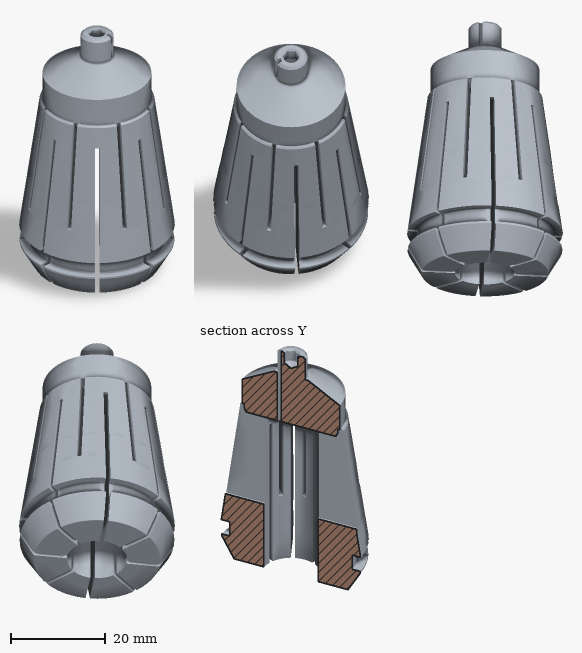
import cadquery as cq
import math

taper_angle = 8.0
nose_angle = 30.0
taper_radius = 16.45
nose_radius = 16.35
neck_radius = 14.45
bore_radius = 12.7 / 2
nose_rim_z = 5.1
neck_z = 5.6
taper_z = 9.1
body_top_z = 40.0
top_chamfer = 0.35
edge_round = 0.15

slot_width = 0.95
slots_per_side = 8
slot_pitch = 360.0 / slots_per_side
lower_slot_top_z = 35.05
upper_slot_bottom_z = 16.0

cap_radius = 23.0 / 2
plug_radius = 22.2 / 2
plug_taper_angle = 25.0
plug_tip_z = 38.0
plug_taper_z = 39.1
cap_cone_z = 46.2
cap_top_z = 50.4
cap_top_radius = 4.05

screw_radius = 3.5
screw_top_z = 56.0
screw_chamfer = 0.55
hex_across_flats = 3.0
hex_depth = 2.8
socket_rim_radius = 1.95
drill_point_angle = 118.0
groove_floor_x = 2.3
groove_width = 0.95
thread_hole_radius = 3.15


def revolve_profile(points):
    """Revolve a closed (radius, z) outline about the Z axis."""
    return cq.Workplane("XZ").polyline(points).close().revolve(360, (0, 0), (0, 1))


def radial_slot(bottom_z, top_z, angle):
    """Box running from the axis out past the body in the given direction."""
    box = cq.Workplane("XY").box(
        2 * taper_radius, slot_width, top_z - bottom_z, centered=(False, True, False)
    )
    return box.translate((0, 0, bottom_z)).rotate((0, 0, 0), (0, 0, 1), angle)


def make_body():
    """Tapered collet with a neck groove, a conical nose and a plain bore."""
    nose_tip_radius = nose_radius - nose_rim_z * math.tan(math.radians(nose_angle))
    slope = math.tan(math.radians(taper_angle))
    chamfer_z = body_top_z - top_chamfer
    chamfer_radius = taper_radius - (chamfer_z - taper_z) * slope
    outline = [
        (0, 0),
        (nose_tip_radius, 0),
        (nose_radius, nose_rim_z),
        (nose_radius, neck_z),
        (neck_radius, neck_z),
        (neck_radius, taper_z),
        (taper_radius, taper_z),
        (chamfer_radius, chamfer_z),
        (chamfer_radius - top_chamfer, body_top_z),
        (0, body_top_z),
    ]
    rounded_edges = [(nose_tip_radius, 0), (nose_radius, neck_z), (neck_radius, taper_z)]
    body = revolve_profile(outline)
    for edge_radius, edge_z in rounded_edges:
        edge = cq.selectors.BoxSelector(
            (-edge_radius - edge_round, -edge_radius - edge_round, edge_z - edge_round),
            (edge_radius + edge_round, edge_radius + edge_round, edge_z + edge_round),
            boundingbox=True,
        )
        body = body.edges("%CIRCLE").edges(edge).fillet(edge_round)
    bore = cq.Workplane("XY").circle(bore_radius).extrude(body_top_z)
    return body.cut(bore)


def cut_slots(body):
    """Cut slots open at the nose, and others open at the top halfway between."""
    for i in range(slots_per_side):
        angle = i * slot_pitch
        body = body.cut(radial_slot(upper_slot_bottom_z, body_top_z, angle))
        body = body.cut(radial_slot(0, lower_slot_top_z, angle + slot_pitch / 2))
    return body


def make_cap():
    """Cap with a tapered plug below, a cone above and the set screw on top."""
    plug_taper_length = plug_taper_z - plug_tip_z
    plug_tip_radius = plug_radius - plug_taper_length * math.tan(math.radians(plug_taper_angle))
    outline = [
        (0, plug_tip_z),
        (plug_tip_radius, plug_tip_z),
        (plug_radius, plug_taper_z),
        (plug_radius, body_top_z),
        (cap_radius, body_top_z),
        (cap_radius, cap_cone_z),
        (cap_top_radius, cap_top_z),
        (screw_radius, cap_top_z),
        (screw_radius, screw_top_z - screw_chamfer),
        (screw_radius - screw_chamfer, screw_top_z),
        (0, screw_top_z),
    ]
    return revolve_profile(outline)


def make_socket():
    """Hexagon socket with a countersunk mouth and a drill point."""
    inscribed_radius = hex_across_flats / 2
    floor_z = screw_top_z - hex_depth
    point_depth = inscribed_radius / math.tan(math.radians(drill_point_angle / 2))
    hexagon = (
        cq.Workplane("XY", origin=(0, 0, floor_z))
        .polygon(6, hex_across_flats, circumscribed=True)
        .extrude(hex_depth)
    )
    countersink = revolve_profile(
        [(0, screw_top_z), (socket_rim_radius, screw_top_z), (0, screw_top_z - socket_rim_radius)]
    )
    drill_point = revolve_profile(
        [(0, floor_z), (inscribed_radius, floor_z), (0, floor_z - point_depth)]
    )
    return hexagon.union(countersink).union(drill_point)


def make_groove():
    """Lengthwise groove in the screw, bounded by the thread hole inside the cap."""
    cutter = cq.Workplane("XY", origin=(groove_floor_x, 0, plug_tip_z)).box(
        screw_radius, groove_width, screw_top_z - plug_tip_z, centered=(False, True, False)
    )
    thread_hole = (
        cq.Workplane("XY", origin=(0, 0, plug_tip_z))
        .circle(thread_hole_radius)
        .extrude(cap_top_z - plug_tip_z)
    )
    above_cap = (
        cq.Workplane("XY", origin=(0, 0, cap_top_z))
        .circle(cap_radius)
        .extrude(screw_top_z - cap_top_z)
    )
    return cutter.intersect(thread_hole.union(above_cap))


cap = make_cap().cut(make_socket()).cut(make_groove())
result = cut_slots(make_body()).union(cap)